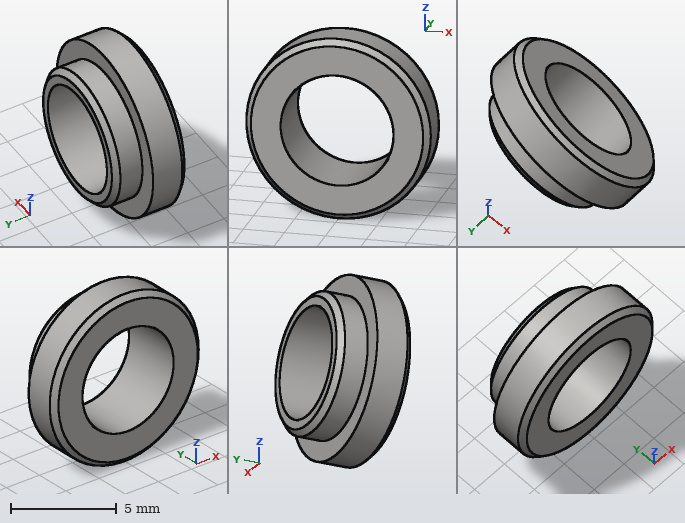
import cadquery as cq

flange_diameter = 9.0
spigot_diameter = 7.0
bore_diameter = 5.5
total_length = 3.4
flange_length = 1.9
spigot_length = total_length - flange_length
chamfer_size = 0.3


def cylinder_along_y(diameter, length, start_y):
    """Solid cylinder running from start_y toward +Y."""
    return cq.Workplane("XZ", origin=(0, start_y, 0)).circle(diameter / 2).extrude(-length)


flange = cylinder_along_y(flange_diameter, flange_length, 0).faces("<Y").chamfer(chamfer_size)
spigot = cylinder_along_y(spigot_diameter, spigot_length, flange_length).faces(">Y").chamfer(chamfer_size)
bore = cylinder_along_y(bore_diameter, total_length, 0)

result = flange.union(spigot).cut(bore)